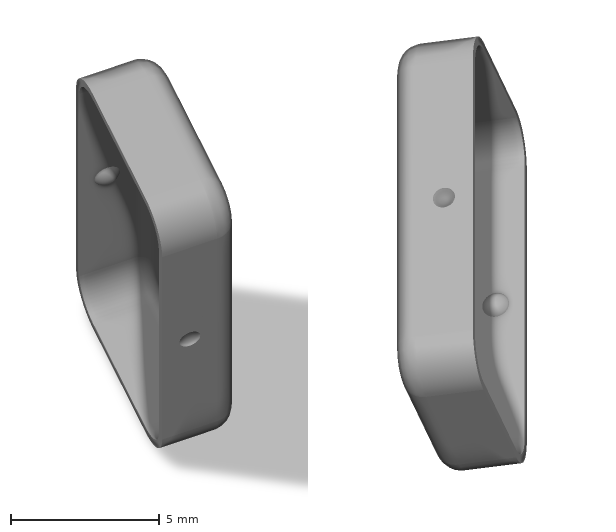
import cadquery as cq
import math

width = 7.6
depth = 2.8
height = 13.6
wall = 0.3
corner_radius = 1.5
floor_edge_radius = 0.8

detent_from_rim = 1.0
detent_depth = 0.23
dimple_radius = 0.38
bump_radius = 0.46

rim_y = -depth / 2
detent_y = rim_y + detent_from_rim


def rounded_block(inset):
    """Block with rounded corners and floor edge, offset inward from the outer skin."""
    return (
        cq.Workplane("XY")
        .box(width - 2 * inset, depth - inset, height - 2 * inset)
        .translate((0, -inset / 2, 0))
        .edges("|Y")
        .fillet(corner_radius - inset)
        .faces(">Y")
        .edges()
        .fillet(floor_edge_radius - inset)
    )


def detent_cap(base_radius, base_x, skirt):
    """Round plug on the -X wall: a spherical cap rising inward from base_x, with a skirt behind it."""
    ball_radius = (base_radius**2 + detent_depth**2) / (2 * detent_depth)
    tip_x = base_x + detent_depth
    middle_x = tip_x - ball_radius + math.sqrt(ball_radius**2 - (base_radius / 2) ** 2)
    return (
        cq.Workplane("XY")
        .moveTo(base_x - skirt, 0)
        .lineTo(base_x - skirt, base_radius)
        .lineTo(base_x, base_radius)
        .threePointArc((middle_x, base_radius / 2), (tip_x, 0))
        .close()
        .revolve(360, (0, 0, 0), (1, 0, 0))
        .translate((0, detent_y, 0))
    )


outer_x = -width / 2
bump = detent_cap(bump_radius, outer_x + wall, wall / 2)
dimple = detent_cap(dimple_radius, outer_x, wall)

result = rounded_block(0).cut(rounded_block(wall))
result = result.union(bump).union(bump.mirror("YZ"))
result = result.cut(dimple).cut(dimple.mirror("YZ"))